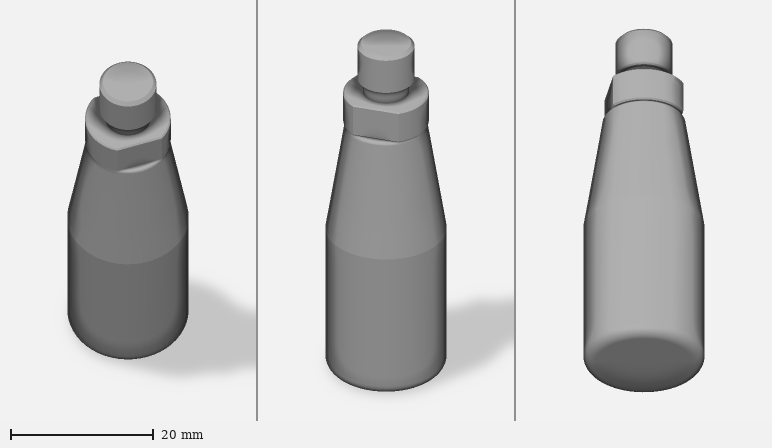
import cadquery as cq

TOTAL_HEIGHT = 53.0

GRIP_DIAMETER = 17.0
GRIP_BOTTOM_ROUND = 1.5
TAPER_START_Z = 22.5
HANDLE_TOP_Z = 40.0
HANDLE_TOP_DIAMETER = 11.5
HANDLE_TOP_ROUND = 0.5

COLLAR_DIAMETER = 12.0
COLLAR_HEIGHT = 5.0
COLLAR_CHAMFER = 0.2
WRENCH_SIZE = 10.0

NECK_DIAMETER = 6.5
NECK_HEIGHT = 2.0

STUD_DIAMETER = 8.0
STUD_TOP_CHAMFER = 0.5
STUD_BOTTOM_CHAMFER = 0.2

COLLAR_TOP_Z = HANDLE_TOP_Z + COLLAR_HEIGHT
STUD_BOTTOM_Z = COLLAR_TOP_Z + NECK_HEIGHT


def cylinder(diameter, bottom_z, height):
    """Vertical cylinder on the Z axis."""
    return cq.Workplane("XY").workplane(offset=bottom_z).circle(diameter / 2).extrude(height)


def handle():
    """Straight grip with a rounded base that tapers to a narrow, rounded top."""
    grip_radius = GRIP_DIAMETER / 2
    top_radius = HANDLE_TOP_DIAMETER / 2
    profile = (
        cq.Workplane("XZ")
        .lineTo(grip_radius, 0)
        .lineTo(grip_radius, TAPER_START_Z)
        .lineTo(top_radius, HANDLE_TOP_Z)
        .lineTo(0, HANDLE_TOP_Z)
        .close()
    )
    body = profile.revolve(360, (0, 0, 0), (0, 1, 0))
    body = body.faces("<Z").edges().fillet(GRIP_BOTTOM_ROUND)
    return body.faces(">Z").edges().fillet(HANDLE_TOP_ROUND)


def collar():
    """Round collar with both rims chamfered, cut flat on the -X and +X sides."""
    round_collar = cylinder(COLLAR_DIAMETER, HANDLE_TOP_Z, COLLAR_HEIGHT)
    flats = cq.Workplane("XY").workplane(offset=HANDLE_TOP_Z).rect(WRENCH_SIZE, COLLAR_DIAMETER)
    body = round_collar.intersect(flats.extrude(COLLAR_HEIGHT))
    return body.faces("<Z or >Z").edges().chamfer(COLLAR_CHAMFER)


def stud():
    """Chamfered stud standing on a narrower neck."""
    neck = cylinder(NECK_DIAMETER, COLLAR_TOP_Z, NECK_HEIGHT)
    shank = cylinder(STUD_DIAMETER, STUD_BOTTOM_Z, TOTAL_HEIGHT - STUD_BOTTOM_Z)
    shank = shank.faces(">Z").edges().chamfer(STUD_TOP_CHAMFER)
    shank = shank.faces("<Z").edges().chamfer(STUD_BOTTOM_CHAMFER)
    return neck.union(shank)


result = handle().union(collar()).union(stud())